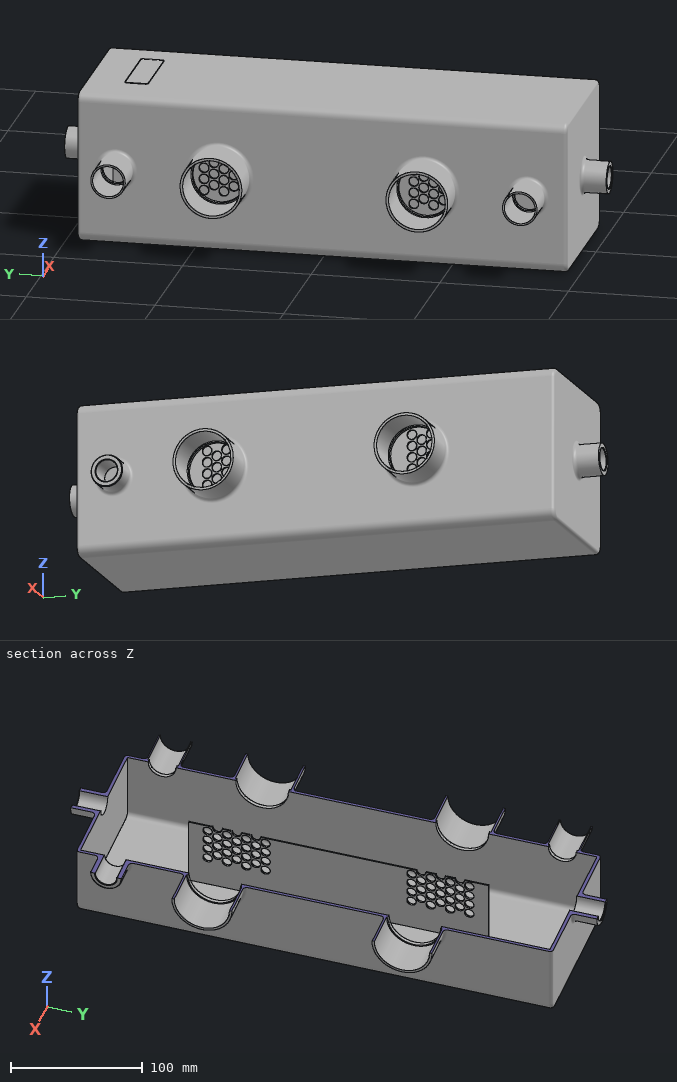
import cadquery as cq
import math

BODY_WIDTH = 120.0
BODY_LENGTH = 381.0
BODY_HEIGHT = 120.0
WALL = 3.0
LONG_EDGE_RADIUS = 8.0
END_EDGE_RADIUS = 3.0

WELD_RADIUS = 3.0
LARGE_PIPE_Y = 80.0
SMALL_PIPE_Y = 160.0
LARGE_PIPE = {"outer": 48.0, "bore": 44.0, "wall_hole": 42.0, "reach": 30.0}
SMALL_PIPE = {"outer": 26.8, "bore": 24.0, "wall_hole": 22.0, "reach": 30.0}
STUB_PIPE = {"outer": 25.0, "bore": 17.07, "wall_hole": 17.07, "reach": 20.0}
STUB_MOUTH_CHAMFER = 0.5
STUB_TIP_CHAMFER_LENGTH = 1.0
STUB_TIP_CHAMFER_DEPTH = 0.5

PARTITION_THICKNESS = 1.5
PARTITION_LENGTH = 240.0
PERFORATION_DIAMETER = 7.5
PERFORATION_PITCH = 8.9
COLUMN_STEP = PERFORATION_PITCH * math.sqrt(3) / 2
PERFORATED_COLUMNS = 7
PERFORATED_ROWS = 7
PATTERN_Y = 81.5

PLATE_LENGTH = 60.0
PLATE_WIDTH = 18.0
PLATE_THICKNESS = 0.55
PLATE_CORNER_RADIUS = 2.0
PLATE_Y = 151.0


def make_shell():
    outer = cq.Workplane("XY").box(BODY_WIDTH, BODY_LENGTH, BODY_HEIGHT)
    outer = outer.edges("|Y").fillet(LONG_EDGE_RADIUS)
    outer = outer.faces("<Y or >Y").edges().fillet(END_EDGE_RADIUS)
    cavity = cq.Workplane("XY").box(
        BODY_WIDTH - 2 * WALL, BODY_LENGTH - 2 * WALL, BODY_HEIGHT - 2 * WALL
    )
    cavity = cavity.edges("|Y").fillet(LONG_EDGE_RADIUS - WALL)
    return outer.cut(cavity)


def add_pipe(vessel, wall_point, direction, pipe):
    """Join a pipe to the wall at wall_point, pointing along direction, and open it into the vessel."""
    outer_radius = pipe["outer"] / 2
    reach = pipe["reach"]
    along_x, along_y = direction
    section = cq.Plane(origin=wall_point, xDir=(0, 0, 1), normal=(-along_y, along_x, 0))
    solid_pipe = (
        cq.Workplane(section)
        .lineTo(outer_radius + WELD_RADIUS, 0)
        .radiusArc((outer_radius, WELD_RADIUS), WELD_RADIUS)
        .lineTo(outer_radius, reach)
        .lineTo(0, reach)
        .close()
        .revolve(360, (0, 0), (0, 1))
    )
    wall_face = cq.Workplane(cq.Plane(origin=wall_point, normal=(along_x, along_y, 0)))
    bore = wall_face.circle(pipe["bore"] / 2).extrude(reach)
    wall_hole = wall_face.circle(pipe["wall_hole"] / 2).extrude(-WALL)
    return vessel.union(solid_pipe).cut(bore).cut(wall_hole)


def add_stub(vessel, wall_point, direction):
    """Join a stub pipe and chamfer the mouth of its bore."""
    along_x, along_y = direction
    bore_radius = STUB_PIPE["bore"] / 2
    wall_plane = cq.Plane(origin=wall_point, normal=(along_x, along_y, 0))
    mouth = (
        cq.Workplane(wall_plane)
        .workplane(offset=STUB_PIPE["reach"])
        .circle(bore_radius + STUB_MOUTH_CHAMFER)
        .workplane(offset=-STUB_MOUTH_CHAMFER)
        .circle(bore_radius)
        .loft()
    )
    return add_pipe(vessel, wall_point, direction, STUB_PIPE).cut(mouth)


def add_all_pipes(vessel):
    side = BODY_WIDTH / 2
    end = BODY_LENGTH / 2
    for sign in (-1, 1):
        for side_sign in (-1, 1):
            large_point = (side_sign * side, sign * LARGE_PIPE_Y, 0)
            vessel = add_pipe(vessel, large_point, (side_sign, 0), LARGE_PIPE)
        vessel = add_pipe(vessel, (-side, sign * SMALL_PIPE_Y, 0), (-1, 0), SMALL_PIPE)
        vessel = add_stub(vessel, (0, sign * end, 0), (0, sign))
    return add_stub(vessel, (side, -SMALL_PIPE_Y, 0), (1, 0))


def chamfer_side_stub(vessel):
    """Cut the tapered lead-in around the outer rim of the stub on the +X side."""
    rim_radius = STUB_PIPE["outer"] / 2
    tip_x = BODY_WIDTH / 2 + STUB_PIPE["reach"]
    wedge = (
        cq.Workplane("XY", origin=(tip_x, -SMALL_PIPE_Y, 0))
        .moveTo(0, rim_radius - STUB_TIP_CHAMFER_DEPTH)
        .lineTo(0, rim_radius)
        .lineTo(-STUB_TIP_CHAMFER_LENGTH, rim_radius)
        .close()
        .revolve(360, (0, 0), (1, 0))
    )
    return vessel.cut(wedge)


def make_partition():
    plate = cq.Workplane("XY").box(PARTITION_THICKNESS, PARTITION_LENGTH, BODY_HEIGHT - 2 * WALL)
    half_columns = PERFORATED_COLUMNS // 2
    half_rows = PERFORATED_ROWS // 2
    points = []
    for centre_y in (-PATTERN_Y, PATTERN_Y):
        for column in range(-half_columns, half_columns + 1):
            odd = column % 2
            y = centre_y + column * COLUMN_STEP
            for row in range(-half_rows - odd, half_rows + 1):
                points.append((y, (row + odd / 2) * PERFORATION_PITCH))
    drills = (
        cq.Workplane("YZ")
        .pushPoints(points)
        .circle(PERFORATION_DIAMETER / 2)
        .extrude(PARTITION_THICKNESS, both=True)
    )
    return plate.cut(drills)


def make_name_plate():
    return (
        cq.Workplane("XY", origin=(0, PLATE_Y, BODY_HEIGHT / 2))
        .rect(PLATE_LENGTH, PLATE_WIDTH)
        .extrude(PLATE_THICKNESS)
        .edges("|Z")
        .fillet(PLATE_CORNER_RADIUS)
    )


vessel = chamfer_side_stub(add_all_pipes(make_shell()))
result = vessel.union(make_partition()).union(make_name_plate())